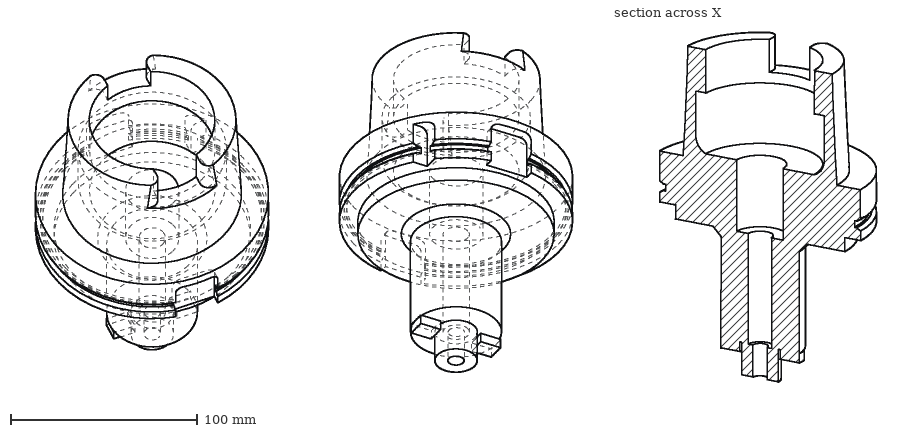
import cadquery as cq
import math

TOTAL_HEIGHT = 181.0
SHANK_BOTTOM = 18.5
SHANK_TOP = 76.4
COLLAR_BOTTOM = 81.3
FLANGE_BOTTOM = 89.2
GROOVE_BOTTOM = 96.3
GROOVE_TOP = 100.0
FLANGE_TOP = 118.4

PILOT_RADIUS = 11.4
SHANK_RADIUS = 24.5
CONE_RADIUS = 29.3
COLLAR_RADIUS = 52.7
FLANGE_DIAMETER = 125.0
FLANGE_RADIUS = FLANGE_DIAMETER / 2
GROOVE_RADIUS = 58.8
GROOVE_CHAMFER_DEPTH = 2.4
GROOVE_CHAMFER_HEIGHT = 1.5
TAPER_BASE_RADIUS = 48.0
TAPER_TOP_RADIUS = 45.0

MAIN_BORE_RADIUS = 33.7
RELIEF_RADIUS = 39.8
RELIEF_TOP = 156.2
RELIEF_BOTTOM = 131.0
RELIEF_ROUND_RADIUS = 10.0
ROUND_CENTER_OFFSET = MAIN_BORE_RADIUS - (RELIEF_RADIUS - RELIEF_ROUND_RADIUS)
MAIN_BORE_FLOOR = RELIEF_BOTTOM - math.sqrt(RELIEF_ROUND_RADIUS**2 - ROUND_CENTER_OFFSET**2)
MIDDLE_BORE_RADIUS = 14.3
MIDDLE_BORE_FLOOR = COLLAR_BOTTOM
LOWER_BORE_RADIUS = 7.0
LOWER_BORE_FLOOR = SHANK_BOTTOM
THROUGH_HOLE_RADIUS = 4.3

RIM_SLOT_WIDTH = 25.0
LEFT_SLOT_FLOOR = 168.9
RIGHT_SLOT_FLOOR = 162.4
RIM_FLAT_OFFSET = 41.3
RIM_CORNER_RADIUS = 5.0

FLANGE_SLOT_WIDTH = 24.6
FLANGE_SLOT_TOP = 113.5
GRIPPER_SLOT_FLOOR_OFFSET = 56.3
NOTCH_START = 39.6
NOTCH_FLOOR_OFFSET = 39.8
FLANGE_SLOT_CORNER_RADIUS = 4.3

KEY_WIDTH = 10.5
KEY_INNER_OFFSET = 12.3
KEY_BOTTOM = 13.0


def make_body():
    """Solid outer form: pilot, shank, collar, grooved flange and taper."""
    chamfer_radius = FLANGE_RADIUS - GROOVE_CHAMFER_DEPTH
    profile = [
        (0, 0),
        (PILOT_RADIUS, 0),
        (PILOT_RADIUS, SHANK_BOTTOM),
        (SHANK_RADIUS, SHANK_BOTTOM),
        (SHANK_RADIUS, SHANK_TOP),
        (CONE_RADIUS, COLLAR_BOTTOM),
        (COLLAR_RADIUS, COLLAR_BOTTOM),
        (COLLAR_RADIUS, FLANGE_BOTTOM),
        (FLANGE_RADIUS, FLANGE_BOTTOM),
        (FLANGE_RADIUS, GROOVE_BOTTOM - GROOVE_CHAMFER_HEIGHT),
        (chamfer_radius, GROOVE_BOTTOM),
        (GROOVE_RADIUS, GROOVE_BOTTOM),
        (GROOVE_RADIUS, GROOVE_TOP),
        (chamfer_radius, GROOVE_TOP),
        (FLANGE_RADIUS, GROOVE_TOP + GROOVE_CHAMFER_HEIGHT),
        (FLANGE_RADIUS, FLANGE_TOP),
        (TAPER_BASE_RADIUS, FLANGE_TOP),
        (TAPER_TOP_RADIUS, TOTAL_HEIGHT),
        (0, TOTAL_HEIGHT),
    ]
    return cq.Workplane("XZ").polyline(profile).close().revolve(360, (0, 0), (0, 1))


def make_bore():
    """Stepped bore: a wider relief lies below the mouth and runs into the main floor in a round."""
    lower_steps = [
        (0, 0),
        (THROUGH_HOLE_RADIUS, 0),
        (THROUGH_HOLE_RADIUS, LOWER_BORE_FLOOR),
        (LOWER_BORE_RADIUS, LOWER_BORE_FLOOR),
        (LOWER_BORE_RADIUS, MIDDLE_BORE_FLOOR),
        (MIDDLE_BORE_RADIUS, MIDDLE_BORE_FLOOR),
        (MIDDLE_BORE_RADIUS, MAIN_BORE_FLOOR),
        (MAIN_BORE_RADIUS, MAIN_BORE_FLOOR),
    ]
    return (
        cq.Workplane("XZ")
        .polyline(lower_steps)
        .radiusArc((RELIEF_RADIUS, RELIEF_BOTTOM), -RELIEF_ROUND_RADIUS)
        .lineTo(RELIEF_RADIUS, RELIEF_TOP)
        .lineTo(MAIN_BORE_RADIUS, RELIEF_TOP)
        .lineTo(MAIN_BORE_RADIUS, TOTAL_HEIGHT)
        .lineTo(0, TOTAL_HEIGHT)
        .close()
        .revolve(360, (0, 0), (0, 1))
    )


def make_rim_slot(side, floor):
    """Slot through one side (+1 or -1 along X) of the rim, flaring outward round its corners."""
    half_width = RIM_SLOT_WIDTH / 2
    flare_y = half_width + RIM_CORNER_RADIUS
    flat_x = side * RIM_FLAT_OFFSET
    arc_start_x = side * (RIM_FLAT_OFFSET - RIM_CORNER_RADIUS)
    arc_radius = side * RIM_CORNER_RADIUS
    outer_x = side * FLANGE_RADIUS
    return (
        cq.Workplane("XY", origin=(0, 0, floor))
        .moveTo(0, -half_width)
        .lineTo(arc_start_x, -half_width)
        .radiusArc((flat_x, -flare_y), arc_radius)
        .lineTo(flat_x, -FLANGE_RADIUS)
        .lineTo(outer_x, -FLANGE_RADIUS)
        .lineTo(outer_x, FLANGE_RADIUS)
        .lineTo(flat_x, FLANGE_RADIUS)
        .lineTo(flat_x, flare_y)
        .radiusArc((arc_start_x, half_width), arc_radius)
        .lineTo(0, half_width)
        .close()
        .extrude(TOTAL_HEIGHT - floor)
    )


def make_flange_slot(side, floor_offset, y_center):
    """Round-topped slot cut along X into the flange down to a flat floor."""
    depth = FLANGE_RADIUS - floor_offset
    height = FLANGE_SLOT_TOP - FLANGE_BOTTOM
    return (
        cq.Workplane("XY")
        .box(depth, FLANGE_SLOT_WIDTH, height)
        .edges("|X and >Z")
        .fillet(FLANGE_SLOT_CORNER_RADIUS)
        .translate((side * (floor_offset + depth / 2), y_center, FLANGE_BOTTOM + height / 2))
    )


def make_key(side):
    """Rectangular drive key below the shank, at one side along Y."""
    length = SHANK_RADIUS - KEY_INNER_OFFSET
    height = SHANK_BOTTOM - KEY_BOTTOM
    return (
        cq.Workplane("XY")
        .box(KEY_WIDTH, length, height)
        .translate((0, side * (KEY_INNER_OFFSET + length / 2), KEY_BOTTOM + height / 2))
    )


result = make_body().cut(make_bore())
result = result.cut(make_rim_slot(-1, LEFT_SLOT_FLOOR))
result = result.cut(make_rim_slot(1, RIGHT_SLOT_FLOOR))

for side in (-1, 1):
    result = result.cut(make_flange_slot(side, GRIPPER_SLOT_FLOOR_OFFSET, 0))
    result = result.union(make_key(side))

notch_center = NOTCH_START + FLANGE_SLOT_WIDTH / 2
result = result.cut(make_flange_slot(-1, NOTCH_FLOOR_OFFSET, notch_center))